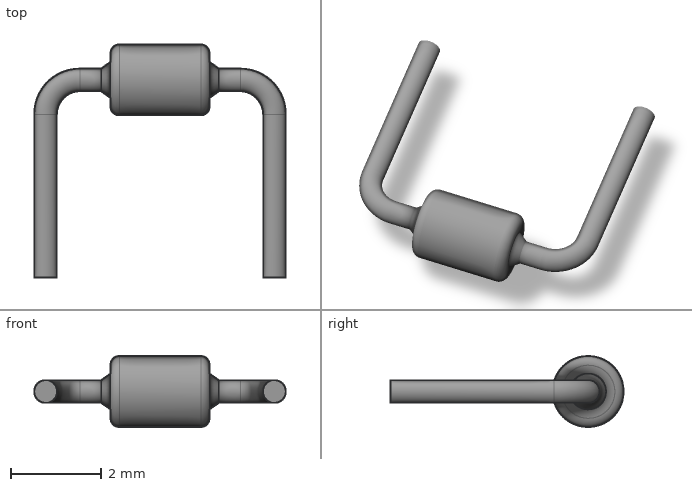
import cadquery as cq

overall_span = 5.59
overall_depth = 5.18
body_diameter = 1.58
body_length = 2.2
body_edge_radius = 0.2
lead_diameter = 0.51
bend_radius = 0.76
collar_length = 0.2
collar_base_diameter = 0.8

body_radius = body_diameter / 2
lead_radius = lead_diameter / 2
half_body = body_length / 2
leg_x = overall_span / 2 - lead_radius
leg_end_y = body_radius - overall_depth
bend_start_x = leg_x - bend_radius


def make_body():
    """Cylindrical body with rounded end edges."""
    cylinder = cq.Workplane("YZ", origin=(-half_body, 0, 0)).circle(body_radius).extrude(body_length)
    return cylinder.edges("%CIRCLE").fillet(body_edge_radius)


def make_collar():
    """Cone tapering from the right end of the body down to the lead."""
    profile = (
        cq.Workplane("XY")
        .moveTo(0, 0)
        .lineTo(0, collar_base_diameter / 2)
        .lineTo(half_body, collar_base_diameter / 2)
        .lineTo(half_body + collar_length, lead_radius)
        .lineTo(half_body + collar_length, 0)
        .close()
    )
    return profile.revolve(360, (0, 0, 0), (1, 0, 0))


def make_lead():
    """Right lead: straight out of the body, a quarter bend, then a leg toward -Y."""
    path = (
        cq.Workplane("XY")
        .lineTo(bend_start_x, 0)
        .tangentArcPoint((leg_x, -bend_radius), relative=False)
        .lineTo(leg_x, leg_end_y)
    )
    return cq.Workplane("YZ").circle(lead_radius).sweep(path)


right_side = make_collar().union(make_lead())
left_side = right_side.mirror("YZ")
result = make_body().union(right_side).union(left_side)